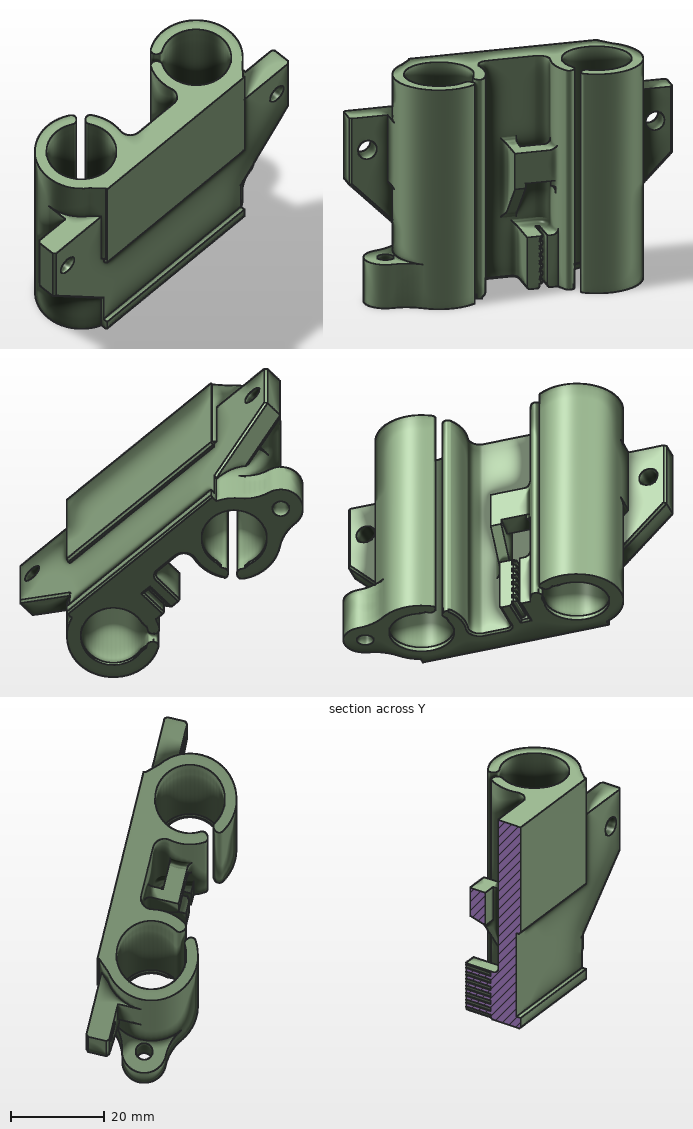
import cadquery as cq
import math

DEPTH = 21.1
HEIGHT = 50.0
FLANGE_SPAN = 72.2

TUBE_R = 20.0 / 2
BORE_R = 7.5
TUBE_Y = 17.6
MOUTH_WIDTH = 1.95
ARM_TIP_FILLET = 1.1
LIP_R = 7.0
LIP_HEIGHT = 1.0
LIP_NOTCH_NEAR = 1.95
LIP_NOTCH_FAR = 6.8
MID_R = (TUBE_R + BORE_R) / 2
DIAGONAL = math.sqrt(0.5)

WEB_FRONT = 5.2
WEB_BACK = DEPTH - TUBE_R
WEB_HALF_WIDTH = 21.1
SLOPE_START_X = 8.15
SLOPE_END_X = 10.7
WEB_FILLET = 2.5
WEB_FILLET_X = WEB_FRONT - WEB_FILLET
WEB_FILLET_Y = TUBE_Y - math.sqrt((TUBE_R + WEB_FILLET) ** 2 - WEB_FILLET_X ** 2)
BACK_RECESS_X = TUBE_R
BACK_RECESS_BOTTOM = 2.8
BACK_RECESS_TOP = 24.0
BACK_RECESS_CHAMFER = 0.6
FOOT_CHAMFER = 0.4
FOOT_CHAMFER_END = 9.6

FLANGE_FRONT = 5.0
FLANGE_BACK = TUBE_R
FLANGE_TOP = 40.0
FLANGE_BOTTOM = 24.85
FLANGE_CHAMFER = 0.5
FLANGE_HOLE_D = 4.2
FLANGE_HOLE_Y = 32.1
FLANGE_HOLE_Z = 32.5

LUG_X = -1.4
LUG_Y = 29.95
LUG_R = 9.45 / 2
LUG_HOLE_R = 1.8
LUG_HEIGHT = TUBE_R
LUG_BLEND_R = TUBE_R

COVE_R = 1.3
HOOK_FRONT = -2.0
HOOK_SIDE = 1.2
HOOK_TOP = 30.9
HOOK_FRONT_BOTTOM = 22.75
HOOK_ROOT_BOTTOM = 14.3
HOOK_NOTCH_X = 1.95
HOOK_NOTCH_BOTTOM = 23.8
CLAMP_FRONT = -3.1
CLAMP_SIDE = -1.15
CLAMP_TOP = 11.9
BLOCK_ROOT_Y = -10.1
GAP_BACK = 3.25
GAP_ROOT = -4.0
GAP_TOOTH = -4.85
GAP_WALL = -5.7
TOOTH_COUNT = 7
TOOTH_PITCH = 1.7
TOOTH_FIRST_Z = 1.5
TOOTH_R = 0.5
TOOTH_LEAD_IN = 0.6

SELECT_MARGIN = 0.1


def box(x0, x1, y0, y1, z0, z1):
    """Axis-aligned box between two opposite corners."""
    return cq.Workplane("XY").box(x1 - x0, y1 - y0, z1 - z0, centered=False).translate((x0, y0, z0))


def cylinder(x, y, radius, height):
    """Vertical cylinder standing on z = 0."""
    return cq.Workplane("XY").center(x, y).circle(radius).extrude(height)


def prism_along_y(points, y0, y1):
    """Prism with an (x, z) outline between two Y positions."""
    return cq.Workplane("XZ", origin=(0, y1, 0)).polyline(points).close().extrude(y1 - y0)


def toward(start, end, distance):
    """Point at a distance from start along the line to end."""
    length = math.dist(start, end)
    return tuple(a + (b - a) * distance / length for a, b in zip(start, end))


def both_sides(solid):
    """Solid together with its mirror image about the XZ plane."""
    return solid.union(solid.mirror("XZ"))


def edges_within(x0, x1, y0, y1, z0, z1):
    """Selector for edges whose centre lies in a box, widened a little on every side."""
    low = (x0 - SELECT_MARGIN, y0 - SELECT_MARGIN, z0 - SELECT_MARGIN)
    high = (x1 + SELECT_MARGIN, y1 + SELECT_MARGIN, z1 + SELECT_MARGIN)
    return cq.selectors.BoxSelector(low, high)


def mouth():
    """Slot of the +Y tube, running from its axis toward -X -Y."""
    slot = box(-2 * TUBE_R, 0, -MOUTH_WIDTH / 2, MOUTH_WIDTH / 2, 0, HEIGHT)
    return slot.rotate((0, 0, 0), (0, 0, 1), 45).translate((0, TUBE_Y, 0))


def lip():
    """Stop lip at the bottom of the +Y bore, ending short of the mouth."""
    ring = cylinder(0, TUBE_Y, MID_R, LIP_HEIGHT).cut(cylinder(0, TUBE_Y, LIP_R, LIP_HEIGHT))
    notch_y = (TUBE_Y - LIP_NOTCH_FAR, TUBE_Y - LIP_NOTCH_NEAR)
    return ring.cut(box(-LIP_NOTCH_FAR, -LIP_NOTCH_NEAR, *notch_y, 0, LIP_HEIGHT))


def web():
    """Web between the tubes: fillets at the front, slopes at the back that stop inside the flanges."""
    slope_y = TUBE_Y + math.sqrt(TUBE_R ** 2 - SLOPE_START_X ** 2)
    touch = toward((0, TUBE_Y), (WEB_FILLET_X, WEB_FILLET_Y), TUBE_R)
    corner = (WEB_FRONT, TUBE_Y - TUBE_R + WEB_FILLET)
    middle = toward((WEB_FILLET_X, WEB_FILLET_Y), corner, WEB_FILLET)
    half = (
        cq.Workplane("XY")
        .moveTo(WEB_BACK, 0)
        .lineTo(WEB_BACK, WEB_HALF_WIDTH)
        .lineTo(SLOPE_START_X, WEB_HALF_WIDTH)
        .lineTo(0, TUBE_Y)
        .lineTo(*touch)
        .threePointArc(middle, (WEB_FRONT, WEB_FILLET_Y))
        .lineTo(WEB_FRONT, 0)
        .close()
        .extrude(HEIGHT)
    )
    slope = [(SLOPE_START_X, WEB_HALF_WIDTH), (SLOPE_END_X, WEB_HALF_WIDTH), (SLOPE_START_X, slope_y)]
    slope_base = cq.Workplane("XY", origin=(0, 0, FLANGE_BOTTOM)).polyline(slope).close()
    half = half.union(slope_base.extrude(HEIGHT - FLANGE_BOTTOM))
    return both_sides(half).faces("<Z").edges(">X").chamfer(FOOT_CHAMFER)


def back_recess():
    """Relief across the back of the web, with a bevelled upper edge."""
    outline = [
        (BACK_RECESS_X, BACK_RECESS_BOTTOM),
        (WEB_BACK, BACK_RECESS_BOTTOM),
        (WEB_BACK, BACK_RECESS_TOP),
        (WEB_BACK - BACK_RECESS_CHAMFER, BACK_RECESS_TOP - BACK_RECESS_CHAMFER),
        (BACK_RECESS_X, BACK_RECESS_TOP - BACK_RECESS_CHAMFER),
    ]
    return prism_along_y(outline, -FLANGE_SPAN / 2, FLANGE_SPAN / 2)


def flange():
    """+Y flange with a 45 degree underside and the shoulder that carries it into the tube."""
    tip = FLANGE_SPAN / 2
    shoulder = TUBE_Y + TUBE_R

    def slab(x0, x1, end, end_bottom):
        root_bottom = end_bottom - (end - TUBE_Y)
        outline = [(TUBE_Y, FLANGE_TOP), (end, FLANGE_TOP), (end, end_bottom), (TUBE_Y, root_bottom)]
        return cq.Workplane("YZ", origin=(x0, 0, 0)).polyline(outline).close().extrude(x1 - x0)

    plate = slab(FLANGE_FRONT, FLANGE_BACK, tip, FLANGE_BOTTOM)
    below_top = FLANGE_TOP - FLANGE_CHAMFER
    rim = edges_within(FLANGE_FRONT, FLANGE_BACK, TUBE_Y + FLANGE_CHAMFER, tip, 0, below_top)
    plate = plate.faces("<X or >X").edges(rim).chamfer(FLANGE_CHAMFER)
    hole = (
        cq.Workplane("YZ")
        .center(FLANGE_HOLE_Y, FLANGE_HOLE_Z)
        .circle(FLANGE_HOLE_D / 2)
        .extrude(WEB_BACK)
    )
    return plate.cut(hole).union(slab(0, FLANGE_FRONT, shoulder, FLANGE_BOTTOM))


def lug():
    """Screw lug on the +Y tube, blended to it by a concave arc on each side."""
    lug_center = (LUG_X, LUG_Y)
    tube_center = (0, TUBE_Y)
    span = math.dist(lug_center, tube_center)
    to_lug = LUG_R + LUG_BLEND_R
    to_tube = TUBE_R + LUG_BLEND_R
    axis = math.atan2(LUG_Y - TUBE_Y, LUG_X)
    spread = math.acos((span ** 2 + to_tube ** 2 - to_lug ** 2) / (2 * span * to_tube))
    arcs = []
    for side in (1, -1):
        angle = axis + side * spread
        blend = (to_tube * math.cos(angle), TUBE_Y + to_tube * math.sin(angle))
        on_tube = toward(blend, tube_center, LUG_BLEND_R)
        on_lug = toward(blend, lug_center, LUG_BLEND_R)
        halfway = tuple((a + b) / 2 for a, b in zip(on_tube, on_lug))
        arcs.append((on_tube, toward(blend, halfway, LUG_BLEND_R), on_lug))
    left, right = arcs
    top = toward(tube_center, lug_center, span + LUG_R)
    outline = (
        cq.Workplane("XY")
        .moveTo(*left[0])
        .threePointArc(left[1], left[2])
        .threePointArc(top, right[2])
        .threePointArc(right[1], right[0])
        .lineTo(*tube_center)
        .close()
    )
    return outline.extrude(LUG_HEIGHT)


def hook_block():
    """Belt hook before notching: a block with an overhanging sloped underside."""
    outline = [
        (WEB_FRONT, HOOK_TOP),
        (HOOK_FRONT, HOOK_TOP),
        (HOOK_FRONT, HOOK_FRONT_BOTTOM),
        (WEB_FRONT, HOOK_ROOT_BOTTOM),
    ]
    return prism_along_y(outline, BLOCK_ROOT_Y, HOOK_SIDE)


def hook_notch():
    """Belt passage below and behind the hook, open toward -Y."""
    above = HOOK_TOP + 2 * COVE_R
    below = HOOK_ROOT_BOTTOM - COVE_R
    outline = [
        (HOOK_FRONT, HOOK_NOTCH_BOTTOM),
        (HOOK_NOTCH_X, HOOK_FRONT_BOTTOM),
        (HOOK_NOTCH_X, above),
        (WEB_FRONT, above),
        (WEB_FRONT, below),
        (HOOK_FRONT, below),
    ]
    return prism_along_y(outline, BLOCK_ROOT_Y, CLAMP_SIDE)


def clamp_teeth():
    """Row of round-tipped belt teeth, chamfered at the front as a lead-in."""
    neck = GAP_TOOTH + TOOTH_R
    footprint = [
        (CLAMP_FRONT, GAP_ROOT),
        (CLAMP_FRONT, GAP_TOOTH + TOOTH_LEAD_IN),
        (CLAMP_FRONT + TOOTH_LEAD_IN, GAP_TOOTH),
        (GAP_BACK, GAP_TOOTH),
        (GAP_BACK, GAP_ROOT),
    ]
    teeth = cq.Workplane("XY")
    for index in range(TOOTH_COUNT):
        z = TOOTH_FIRST_Z + index * TOOTH_PITCH
        shank = box(CLAMP_FRONT, GAP_BACK, neck, GAP_ROOT, z - TOOTH_R, z + TOOTH_R)
        tip_face = cq.Workplane("YZ", origin=(CLAMP_FRONT, 0, 0)).center(neck, z).circle(TOOTH_R)
        teeth = teeth.union(shank).union(tip_face.extrude(GAP_BACK - CLAMP_FRONT))
    return teeth.intersect(cq.Workplane("XY").polyline(footprint).close().extrude(CLAMP_TOP))


frame = both_sides(cylinder(0, TUBE_Y, TUBE_R, HEIGHT)).union(web())

hook_at_web = edges_within(WEB_FRONT, WEB_FRONT, -WEB_FILLET_Y / 2, HOOK_SIDE, HOOK_ROOT_BOTTOM, HOOK_TOP)
hook_top_at_tube = edges_within(HOOK_FRONT / 2, WEB_FRONT, BLOCK_ROOT_Y, -WEB_FILLET_Y, HOOK_TOP, HOOK_TOP)
hook_side_at_tube = edges_within(
    HOOK_FRONT, HOOK_FRONT, BLOCK_ROOT_Y, TUBE_R - TUBE_Y, HOOK_FRONT_BOTTOM, HOOK_TOP - COVE_R
)
hooked = frame.union(hook_block())
hooked = hooked.edges(hook_at_web + hook_top_at_tube + hook_side_at_tube).fillet(COVE_R)
hooked = hooked.cut(hook_notch())

clamp_at_web = edges_within(WEB_FRONT, WEB_FRONT, -WEB_FILLET_Y, CLAMP_SIDE, COVE_R, CLAMP_TOP)
clamp_top_at_tube = edges_within(
    CLAMP_FRONT / 2, WEB_FRONT, BLOCK_ROOT_Y, -WEB_FILLET_Y, CLAMP_TOP, CLAMP_TOP
)
clamped = frame.union(box(CLAMP_FRONT, WEB_FRONT, BLOCK_ROOT_Y, CLAMP_SIDE, 0, CLAMP_TOP))
clamped = clamped.edges(clamp_at_web + clamp_top_at_tube).fillet(COVE_R)
clamped = clamped.cut(box(CLAMP_FRONT, GAP_BACK, GAP_WALL, GAP_ROOT, 0, CLAMP_TOP))

body = hooked.union(frame).union(clamped).union(both_sides(flange())).union(lug())
body = body.cut(back_recess()).cut(cylinder(LUG_X, LUG_Y, LUG_HOLE_R, LUG_HEIGHT))

body = body.cut(both_sides(cylinder(0, TUBE_Y, BORE_R, HEIGHT).union(mouth())))
arm_x = (-TUBE_R * DIAGONAL - MOUTH_WIDTH / 2, -BORE_R * DIAGONAL + MOUTH_WIDTH / 2)
arm_corners = edges_within(*arm_x, -TUBE_Y, TUBE_Y, HEIGHT / 2, HEIGHT / 2)
body = body.edges("|Z").edges(arm_corners).fillet(ARM_TIP_FILLET)

channel_foot = edges_within(-MID_R, WEB_FRONT, CLAMP_SIDE, TUBE_Y - MID_R * DIAGONAL, 0, 0)
gap_foot = edges_within(CLAMP_FRONT / 2, GAP_BACK, GAP_WALL, GAP_ROOT, 0, 0)
bevelled = body.edges(channel_foot + gap_foot).chamfer(FOOT_CHAMFER)

square_foot = box(-WEB_BACK, WEB_BACK, FOOT_CHAMFER_END, FLANGE_SPAN / 2, 0, FOOT_CHAMFER)
bevelled = bevelled.union(body.intersect(square_foot))

result = bevelled.union(both_sides(lip())).union(clamp_teeth())